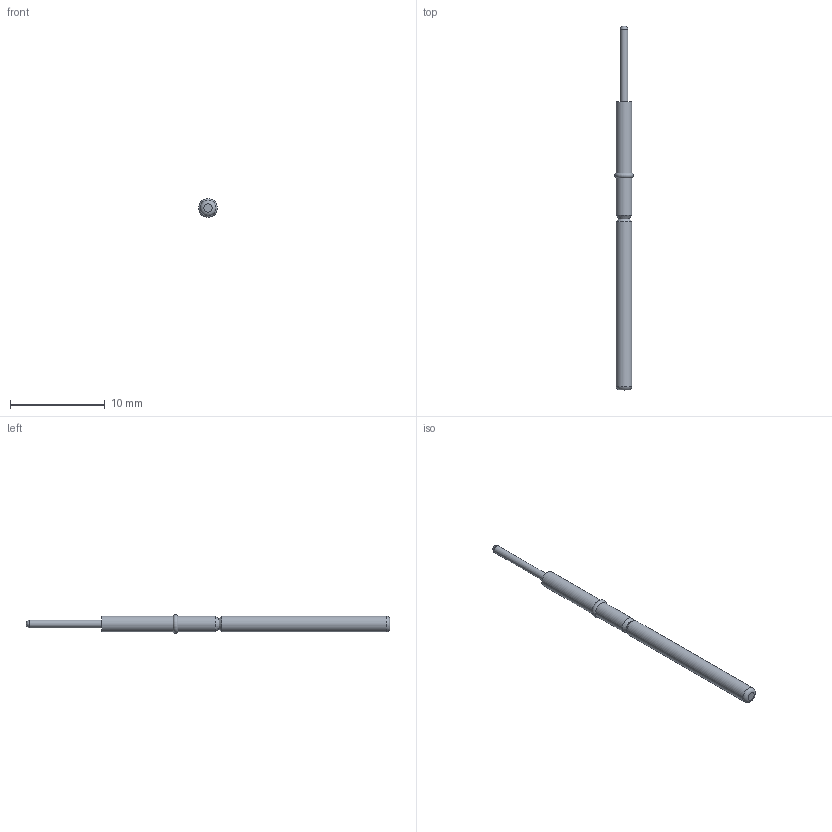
import cadquery as cq

total_length = 38.4
plunger_length = 8.0
barrel_length = total_length - plunger_length

barrel_radius = 1.68 / 2
plunger_radius = 0.8 / 2
rear_rounding = 0.4

ring_radius = 2.0 / 2
ring_width = 0.5
ring_center_y = 22.63

groove_width = 0.68
groove_depth = 0.25
groove_center_y = 18.07


def cylinder(radius, start_y, end_y):
    """Solid cylinder on the Y axis between two stations."""
    return cq.Workplane("XZ", origin=(0, start_y, 0)).circle(radius).extrude(start_y - end_y)


def revolve_about_y(profile):
    """Full turn of an XY profile about the Y axis."""
    return profile.revolve(360, (0, 0, 0), (0, 1, 0))


def make_barrel():
    return cylinder(barrel_radius, 0, barrel_length).faces("<Y").edges().fillet(rear_rounding)


def make_plunger():
    """Plain rod with a hemispherical tip; it starts at the front face of the barrel."""
    rod_end_y = total_length - plunger_radius
    tip = cq.Workplane("XY").sphere(plunger_radius).translate((0, rod_end_y, 0))
    return cylinder(plunger_radius, barrel_length, rod_end_y).union(tip)


def make_press_ring():
    rear_y = ring_center_y - ring_width / 2
    front_y = ring_center_y + ring_width / 2
    profile = (
        cq.Workplane("XY")
        .moveTo(0, rear_y)
        .lineTo(barrel_radius, rear_y)
        .threePointArc((ring_radius, ring_center_y), (barrel_radius, front_y))
        .lineTo(0, front_y)
        .close()
    )
    return revolve_about_y(profile)


def make_crimp_groove():
    """Ring-shaped cutter with a V profile."""
    profile = (
        cq.Workplane("XY")
        .moveTo(barrel_radius, groove_center_y - groove_width / 2)
        .lineTo(barrel_radius - groove_depth, groove_center_y)
        .lineTo(barrel_radius, groove_center_y + groove_width / 2)
        .close()
    )
    return revolve_about_y(profile)


result = make_barrel().union(make_plunger()).union(make_press_ring()).cut(make_crimp_groove())